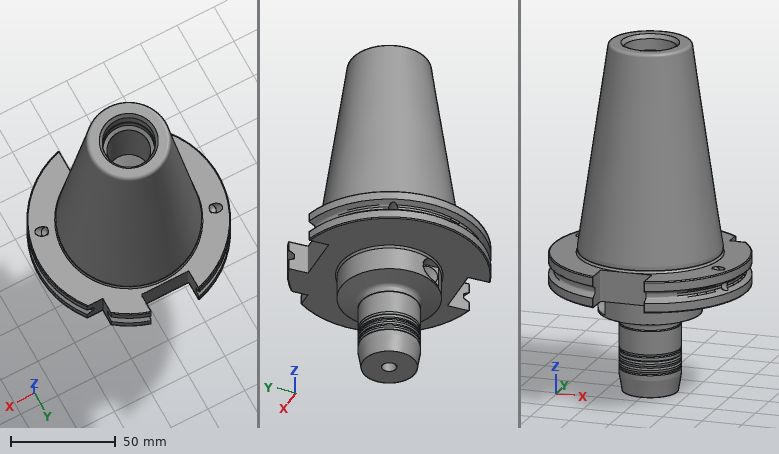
import cadquery as cq
import math


total_height = 173.6
flange_thickness = 15.6
flange_top = 68.7
flange_bottom = flange_top - flange_thickness
flange_diameter = 97.4
flange_radius = flange_diameter / 2
flange_chamfer = 0.5

gauge_radius = 34.9
gauge_offset = 3.1
gauge_height = flange_top + gauge_offset
taper_slope = 7 / 48
taper_top_radius = gauge_radius - taper_slope * (total_height - gauge_height)
taper_top_rounding = 1.7
gauge_band_height = 1.7
relief_depth = 0.3
relief_flare = 0.5

groove_middle = 61.0
groove_mouth = 6.0
groove_depth = 3.1
groove_flank_angle = 30
groove_rounding = 1.0

collar_radius = 25.0
collar_root_flare = 0.7
collar_root_height = 1.2
collar_bottom = 40.0
collar_cone_angle = 15
neck_rounding = 2.3
nose_diameter = 30.0
nose_radius = nose_diameter / 2
nose_end_radius = 13.5
nose_taper_height = 8.7
mark_depth = 0.3
mark_step_height = 0.5
mark_flank = 1.0
neck_relief_bottom = 33.5
upper_mark_top = 21.9
land_top = 20.3
land_bottom = 18.7
ridge_pitch = 3.1
ridge_count = 2

bore_mouth_radius = 14.0
bore_mouth_depth = 2.0
pilot_radius = 12.7
pilot_depth = 7.8
recess_radius = 12.3
recess_depth = 11.3
thread_radius = 10.5
thread_start_depth = 12.7
thread_end_depth = 45.1
drill_point_angle = 118
through_radius = 3.6

slot_width = 25.7
slot_corner_radius = 0.5
slot_edge_chamfer = 0.3
rear_slot_floor = 36.6
front_slot_floor = 35.5
notch_x = 30.0
notch_y = 29.7

coolant_angle = 160
coolant_radius = 41.8
coolant_hole_radius = 2.5
coolant_depth = 1.9
cross_hole_radius = 2.3
cross_hole_depth = 5.2

pocket_height = 46.5
pocket_radius = 5.5
pocket_point_radius = 4.9
pocket_point_angle = 90
pocket_y = -13.4
pocket_floor_x = -16.5


def rounded_outline(corners):
    """Closed XZ wire through (radius, height, rounding) corners."""
    count = len(corners)
    path = None
    for index, (x, z, rounding) in enumerate(corners):
        corner = cq.Vector(x, z, 0)
        before = cq.Vector(*corners[index - 1][:2], 0)
        after = cq.Vector(*corners[(index + 1) % count][:2], 0)
        to_before = (before - corner).normalized()
        to_after = (after - corner).normalized()
        half_angle = to_before.getAngle(to_after) / 2
        setback = rounding / math.tan(half_angle)
        start = corner + to_before * setback
        end = corner + to_after * setback
        if path is None:
            path = cq.Workplane("XZ").moveTo(start.x, start.y)
        else:
            path = path.lineTo(start.x, start.y)
        if rounding:
            bisector = (to_before + to_after).normalized()
            middle = corner + bisector * (rounding / math.sin(half_angle) - rounding)
            path = path.threePointArc((middle.x, middle.y), (end.x, end.y))
    return path.close()


def turned(corners):
    return rounded_outline(corners).revolve(360, (0, 0, 0), (0, 1, 0))


def nose_corners():
    """Outside of the nose, from the end face up to the collar cone."""
    root = nose_radius - mark_depth
    corners = [
        (0, 0, 0),
        (nose_end_radius, 0, 0),
        (nose_radius, nose_taper_height, 0),
    ]
    ridges_bottom = land_bottom - mark_step_height - ridge_count * ridge_pitch
    corners.append((nose_radius, ridges_bottom - mark_step_height, 0))
    for index in range(ridge_count):
        ridge = ridges_bottom + index * ridge_pitch
        corners += [
            (root, ridge, 0),
            (nose_radius, ridge + mark_flank, 0),
            (nose_radius, ridge + ridge_pitch - mark_flank, 0),
        ]
    neck_top = collar_bottom - (collar_radius - root) * math.tan(math.radians(collar_cone_angle))
    corners += [
        (root, land_bottom - mark_step_height, 0),
        (nose_radius, land_bottom, 0),
        (nose_radius, land_top, 0),
        (root, land_top + mark_step_height, 0),
        (nose_radius, upper_mark_top, 0),
        (nose_radius, neck_relief_bottom, 0),
        (root, neck_relief_bottom + mark_step_height, 0),
        (root, neck_top, neck_rounding),
    ]
    return corners


def flange_corners():
    """Collar, flange rim with its V groove, and the flange top face."""
    floor_radius = flange_radius - groove_depth
    flank_rise = groove_depth * math.tan(math.radians(groove_flank_angle))
    mouth_bottom = groove_middle - groove_mouth / 2
    mouth_top = groove_middle + groove_mouth / 2
    return [
        (collar_radius, collar_bottom, 0),
        (collar_radius, flange_bottom - collar_root_height, 0),
        (collar_radius + collar_root_flare, flange_bottom, 0),
        (flange_radius - flange_chamfer, flange_bottom, 0),
        (flange_radius, flange_bottom + flange_chamfer, 0),
        (flange_radius, mouth_bottom, 0),
        (floor_radius, mouth_bottom + flank_rise, groove_rounding),
        (floor_radius, mouth_top - flank_rise, groove_rounding),
        (flange_radius, mouth_top, 0),
        (flange_radius, flange_top - flange_chamfer, 0),
        (flange_radius - flange_chamfer, flange_top, 0),
    ]


def taper_corners():
    """Relief above the flange, gauge band and 7:24 taper."""
    band_bottom = gauge_height - gauge_band_height
    return [
        (gauge_radius + relief_flare, flange_top, 0),
        (gauge_radius - relief_depth, band_bottom - relief_depth, 0),
        (gauge_radius, band_bottom, 0),
        (gauge_radius, gauge_height, 0),
        (taper_top_radius, total_height, taper_top_rounding),
        (0, total_height, 0),
    ]


def bore():
    """Pull stud bore from the taper end, ending in a through hole along the axis."""
    cone_depth = (thread_radius - through_radius) / math.tan(math.radians(drill_point_angle / 2))
    steps = [
        (bore_mouth_radius, 0),
        (pilot_radius, bore_mouth_depth),
        (pilot_radius, pilot_depth),
        (recess_radius, pilot_depth),
        (recess_radius, recess_depth),
        (thread_radius, thread_start_depth),
        (thread_radius, thread_end_depth),
        (through_radius, thread_end_depth + cone_depth),
        (through_radius, total_height),
    ]
    corners = [(0, total_height, 0)]
    corners += [(radius, total_height - depth, 0) for radius, depth in steps]
    return turned(corners + [(0, 0, 0)])


def drive_slot(floor, side):
    """Slot through the flange on the +Y (side = 1) or -Y (side = -1) edge."""
    reach = flange_radius - floor
    slot = (
        cq.Workplane("XY", origin=(0, side * (floor + reach / 2), flange_bottom))
        .box(slot_width, reach, flange_thickness, centered=(True, True, False))
        .edges("|Z and " + ("<Y" if side > 0 else ">Y"))
        .fillet(slot_corner_radius)
    )
    half_width = slot_width / 2
    edge_y = math.sqrt(flange_radius**2 - (half_width + slot_edge_chamfer) ** 2)
    wedge = (
        cq.Workplane("XY", origin=(0, 0, flange_bottom))
        .polyline([
            (-half_width, side * (edge_y - slot_edge_chamfer)),
            (half_width, side * (edge_y - slot_edge_chamfer)),
            (half_width + slot_edge_chamfer, side * edge_y),
            (half_width + slot_edge_chamfer, side * flange_radius),
            (-half_width - slot_edge_chamfer, side * flange_radius),
            (-half_width - slot_edge_chamfer, side * edge_y),
        ])
        .close()
        .extrude(flange_thickness)
    )
    return slot.union(wedge)


def corner_notch():
    return cq.Workplane("XY", origin=(notch_x, notch_y, flange_bottom)).box(
        flange_radius, flange_radius, flange_thickness, centered=False
    )


def drilled_hole(start, direction, radius, depth, point_angle):
    """Cylinder from start along direction, closed by a conical drill point."""
    point_depth = radius / math.tan(math.radians(point_angle / 2))
    tip_start = start + direction * depth
    cylinder = cq.Solid.makeCylinder(radius, depth, start, direction)
    point = cq.Solid.makeCone(radius, 0, point_depth, tip_start, direction)
    return cq.Workplane(cylinder).union(cq.Workplane(point))


def coolant_holes(angle):
    """Blind hole sloping inward at 45 degrees from the flange top, and a radial one in the groove."""
    inward_slope = cq.Vector(-1, 0, -1).normalized()
    overshoot = 2 * coolant_hole_radius
    sloped = drilled_hole(
        cq.Vector(coolant_radius, 0, flange_top) - inward_slope * overshoot,
        inward_slope,
        coolant_hole_radius,
        overshoot + coolant_depth,
        drill_point_angle,
    )
    radial = drilled_hole(
        cq.Vector(flange_radius, 0, groove_middle),
        cq.Vector(-1, 0, 0),
        cross_hole_radius,
        groove_depth + cross_hole_depth,
        drill_point_angle,
    )
    return sloped.union(radial).rotate((0, 0, 0), (0, 0, 1), angle)


def screw_pocket():
    """Flat-floored recess open to the collar side, with a conical point in its floor."""
    floor_center = cq.Vector(pocket_floor_x, pocket_y, pocket_height)
    outward = cq.Plane(floor_center, xDir=(0, -1, 0), normal=(-1, 0, 0))
    recess = cq.Workplane(outward).circle(pocket_radius).extrude(collar_radius)
    side_opening = cq.Workplane(outward).box(
        collar_radius, 2 * pocket_radius, collar_radius, centered=(False, True, False)
    )
    point_depth = pocket_point_radius / math.tan(math.radians(pocket_point_angle / 2))
    point = cq.Solid.makeCone(pocket_point_radius, 0, point_depth, floor_center, -outward.zDir)
    return recess.union(side_opening).union(cq.Workplane(point))


result = turned(nose_corners() + flange_corners() + taper_corners())
result = result.cut(bore())
result = result.cut(drive_slot(rear_slot_floor, 1))
result = result.cut(drive_slot(front_slot_floor, -1))
result = result.cut(corner_notch())
for half_turn in (0, 180):
    result = result.cut(coolant_holes(coolant_angle + half_turn))
result = result.cut(screw_pocket())